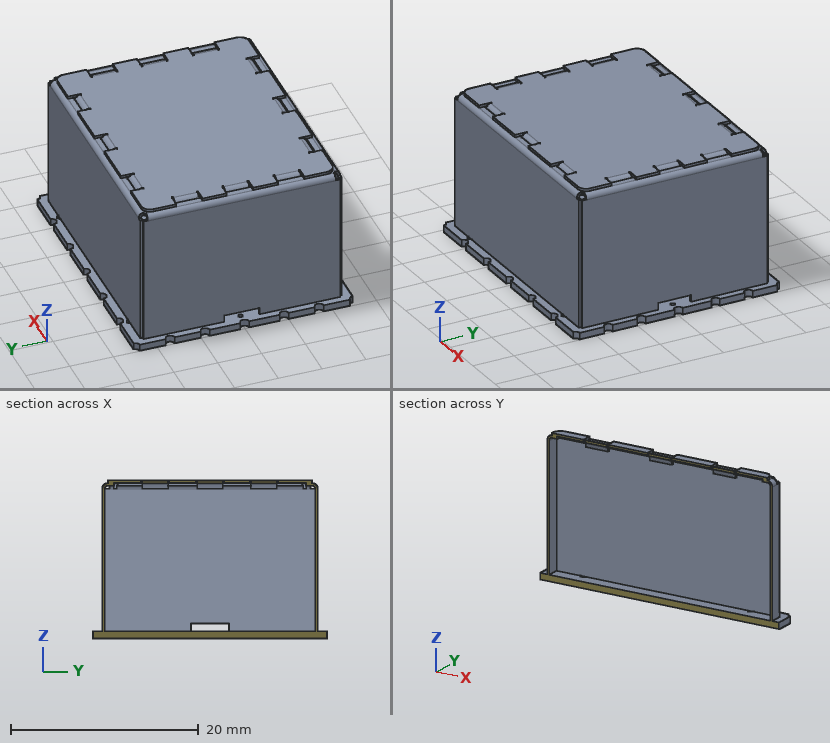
import cadquery as cq
import math

PLATE_LENGTH = 30.0
PLATE_WIDTH = 25.0
PLATE_THICKNESS = 0.8
EDGE_NOTCH_DIAMETER = 1.0
LONG_EDGE_NOTCHES = (-10.0, -5.0, 0.0, 5.0, 10.0)
SHORT_EDGE_NOTCHES = (-8.5, -4.5, 0.0, 4.5, 8.5)
LOCATING_HOLE_DIAMETER = 0.8
LOCATING_HOLE_X = 10.5
LOCATING_HOLE_Y = 11.35
LEAD_HOLE_DIAMETER = 0.5
LEAD_HOLE_X = 13.7

COVER_LENGTH = 28.3
COVER_WIDTH = 23.0
COVER_TOP = 16.6
SHEET = 0.3
BEND_RADIUS = 0.6
BEND_START_Z = COVER_TOP - BEND_RADIUS
FLANGE_WIDTH = 0.65
FLANGE_LENGTH = COVER_LENGTH - 2 * BEND_RADIUS
FLANGE_BREADTH = COVER_WIDTH - 2 * BEND_RADIUS
CORNER_STEP = 0.28
BEND_END_GAP = 0.78
WINDOW_WIDTH = 4.0
WINDOW_HEIGHT = 0.8

LID_TOP = 16.91
LID_THICKNESS = LID_TOP - COVER_TOP
LID_LENGTH = FLANGE_LENGTH
LID_WIDTH = FLANGE_BREADTH
LID_CORNER_RADIUS = 1.0
TAB_NOTCH_WIDTH = 3.0
TAB_NOTCH_DEPTH = 1.45
TAB_SIDE_GAP = 0.12
TAB_BEND_RADIUS = 0.7
TAB_DROP = 0.9
LONG_SIDE_TABS = (-8.0, 0.0, 8.0)
SHORT_SIDE_TABS = (-5.85, 0.0, 5.75)

DIAGONAL = math.sqrt(0.5)


def centered_box(length, width, bottom, height):
    """Box centred on the Z axis, standing on the given level."""
    return cq.Workplane("XY").workplane(offset=bottom).rect(length, width).extrude(height)


def vertical_holes(points, diameter):
    """Cylinders through the whole plate thickness."""
    return cq.Workplane("XY").pushPoints(points).circle(diameter / 2).extrude(PLATE_THICKNESS)


def extrude_along_x(outline, start, end):
    """Extrude a YZ outline from X = start to X = end."""
    return outline.extrude(end - start).translate((start, 0, 0))


def turned(body, angle):
    """Turn a body about the Z axis."""
    return body.rotate((0, 0, 0), (0, 0, 1), angle)


def make_plate():
    half_x = PLATE_LENGTH / 2
    half_y = PLATE_WIDTH / 2
    notches = [(x, side * half_y) for x in LONG_EDGE_NOTCHES for side in (-1, 1)]
    notches += [(side * half_x, y) for y in SHORT_EDGE_NOTCHES for side in (-1, 1)]
    notches += [(sx * half_x, sy * half_y) for sx in (-1, 1) for sy in (-1, 1)]
    locating = [(sx * LOCATING_HOLE_X, sy * LOCATING_HOLE_Y) for sx in (-1, 1) for sy in (-1, 1)]
    leads = [(side * LEAD_HOLE_X, 0) for side in (-1, 1)]

    plate = centered_box(PLATE_LENGTH, PLATE_WIDTH, 0, PLATE_THICKNESS)
    plate = plate.cut(vertical_holes(notches, EDGE_NOTCH_DIAMETER))
    plate = plate.cut(vertical_holes(locating, LOCATING_HOLE_DIAMETER))
    return plate.cut(vertical_holes(leads, LEAD_HOLE_DIAMETER))


def make_panel(length, outer_y):
    """Wall on the -Y side with its top edge bent inwards."""
    outer = -outer_y
    inner = outer + SHEET
    bend_y = outer + BEND_RADIUS
    inner_radius = BEND_RADIUS - SHEET

    wall_half = length / 2 - CORNER_STEP
    wall_height = BEND_START_Z - PLATE_THICKNESS
    wall = cq.Workplane("XY").box(2 * wall_half, SHEET, wall_height, centered=(True, False, False))
    wall = wall.translate((0, outer, PLATE_THICKNESS))

    bend_half = length / 2 - BEND_END_GAP
    bend = (
        cq.Workplane("YZ")
        .moveTo(outer, BEND_START_Z)
        .threePointArc(
            (bend_y - BEND_RADIUS * DIAGONAL, BEND_START_Z + BEND_RADIUS * DIAGONAL),
            (bend_y, COVER_TOP),
        )
        .lineTo(bend_y, COVER_TOP - SHEET)
        .threePointArc(
            (bend_y - inner_radius * DIAGONAL, BEND_START_Z + inner_radius * DIAGONAL),
            (inner, BEND_START_Z),
        )
        .close()
    )
    return wall.union(extrude_along_x(bend, -bend_half, bend_half))


def make_flange():
    """Flat frame joining the four bends, open in the middle."""
    bottom = COVER_TOP - SHEET
    frame = centered_box(FLANGE_LENGTH, FLANGE_BREADTH, bottom, SHEET)
    opening_length = FLANGE_LENGTH - 2 * FLANGE_WIDTH
    opening_breadth = FLANGE_BREADTH - 2 * FLANGE_WIDTH
    return frame.cut(centered_box(opening_length, opening_breadth, bottom, SHEET))


def make_cover():
    long_panel = make_panel(COVER_LENGTH, COVER_WIDTH / 2)
    short_panel = make_panel(COVER_WIDTH, COVER_LENGTH / 2)
    cover = long_panel.union(turned(long_panel, 180))
    cover = cover.union(turned(short_panel, 90)).union(turned(short_panel, -90))
    cover = cover.union(make_flange())
    window = centered_box(COVER_LENGTH, WINDOW_WIDTH, PLATE_THICKNESS, WINDOW_HEIGHT)
    return cover.cut(window)


def make_tab_notch(flange_edge_y, x):
    """Clearance for one tab on the -Y side of the lid."""
    notch = cq.Workplane("XY").box(
        TAB_NOTCH_WIDTH, TAB_NOTCH_DEPTH, LID_THICKNESS, centered=(True, False, False)
    )
    return notch.translate((x, -flange_edge_y, COVER_TOP))


def make_tab(flange_edge_y, x):
    """Tab on the -Y side, bent down against the inner edge of the flange."""
    root_y = TAB_NOTCH_DEPTH - flange_edge_y
    face_y = FLANGE_WIDTH - flange_edge_y
    bend_y = face_y + TAB_BEND_RADIUS
    bend_z = LID_TOP - TAB_BEND_RADIUS
    inner_radius = TAB_BEND_RADIUS - LID_THICKNESS
    tip_z = LID_TOP - TAB_DROP
    half = TAB_NOTCH_WIDTH / 2 - TAB_SIDE_GAP

    outline = (
        cq.Workplane("YZ")
        .moveTo(root_y, LID_TOP)
        .lineTo(bend_y, LID_TOP)
        .threePointArc(
            (bend_y - TAB_BEND_RADIUS * DIAGONAL, bend_z + TAB_BEND_RADIUS * DIAGONAL),
            (face_y, bend_z),
        )
        .lineTo(face_y, tip_z)
        .lineTo(face_y + LID_THICKNESS, tip_z)
        .lineTo(face_y + LID_THICKNESS, bend_z)
        .threePointArc(
            (bend_y - inner_radius * DIAGONAL, bend_z + inner_radius * DIAGONAL),
            (bend_y, COVER_TOP),
        )
        .lineTo(root_y, COVER_TOP)
        .close()
    )
    return extrude_along_x(outline, x - half, x + half)


def make_lid():
    lid = centered_box(LID_LENGTH, LID_WIDTH, COVER_TOP, LID_THICKNESS)
    lid = lid.edges("|Z").fillet(LID_CORNER_RADIUS)
    placements = [(0, FLANGE_BREADTH / 2, x) for x in LONG_SIDE_TABS]
    placements += [(180, FLANGE_BREADTH / 2, -x) for x in LONG_SIDE_TABS]
    placements += [(90, FLANGE_LENGTH / 2, y) for y in SHORT_SIDE_TABS]
    placements += [(-90, FLANGE_LENGTH / 2, -y) for y in SHORT_SIDE_TABS]
    for angle, flange_edge_y, position in placements:
        lid = lid.cut(turned(make_tab_notch(flange_edge_y, position), angle))
        lid = lid.union(turned(make_tab(flange_edge_y, position), angle))
    return lid


result = make_plate().union(make_cover()).union(make_lid())